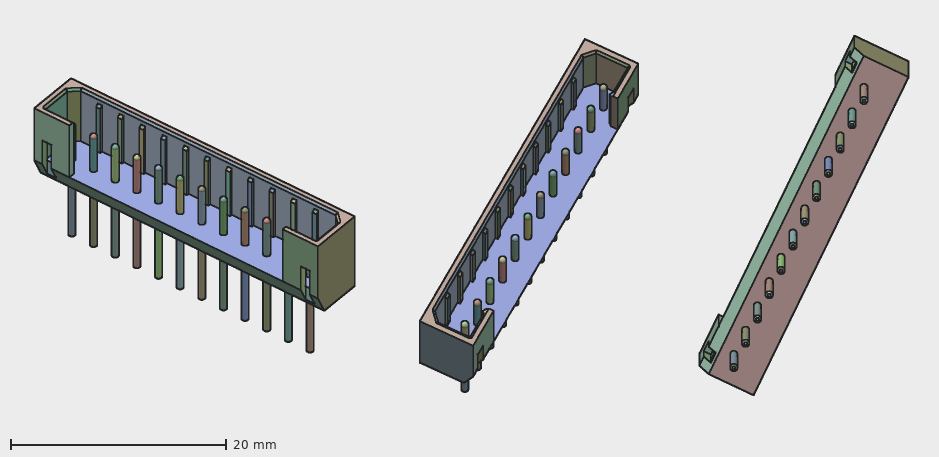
import cadquery as cq

LENGTH = 33.3
DEPTH = 5.6
HEIGHT = 8.32
WALL = 0.73
END_WALL = 0.75
FLOOR = 2.1
BEVEL_RUN = 0.95

CORNER_RUN_X = 0.93
CORNER_RUN_Y = 0.83
LIP_CHAMFER = 0.23

TAB_LENGTH = 4.13
BEAD_WIDTH = 0.53
BEAD_RISE = 0.3
SLOT_INSET = 0.95
SLOT_WIDTH = 1.03
SLOT_TOP_DROP = 3.4

PIN_COUNT = 12
PIN_SPAN = 27.95
PIN_DIAMETER = 0.7
PIN_INSET = 2.25
PIN_TAIL = 7.05
PIN_TOP_DROP = 1.93
PIN_DOME_HEIGHT = 0.3
PIN_TAIL_CHAMFER = 0.2

RIB_WIDTH = 0.5
RIB_DEPTH = 0.25
RIB_TOP_DROP = 0.7

HALF_LENGTH = LENGTH / 2
PIN_PITCH = PIN_SPAN / (PIN_COUNT - 1)
REAR_WALL_Y = DEPTH - WALL


def make_block():
    """Solid housing with the bevel along its lower front edge."""
    return (
        cq.Workplane("YZ")
        .polyline([(BEVEL_RUN, 0), (DEPTH, 0), (DEPTH, HEIGHT), (0, HEIGHT), (0, FLOOR)])
        .close()
        .extrude(HALF_LENGTH, both=True)
    )


def make_cavity():
    """Pocket with two cut rear corners, flared at the rim."""
    side = HALF_LENGTH - END_WALL
    outline = [
        (-side, WALL),
        (side, WALL),
        (side, REAR_WALL_Y - CORNER_RUN_Y),
        (side - CORNER_RUN_X, REAR_WALL_Y),
        (-side + CORNER_RUN_X, REAR_WALL_Y),
        (-side, REAR_WALL_Y - CORNER_RUN_Y),
    ]
    pocket = cq.Workplane("XY", origin=(0, 0, FLOOR)).polyline(outline).close().extrude(HEIGHT - FLOOR)
    flare = (
        cq.Workplane("XY", origin=(0, 0, HEIGHT - LIP_CHAMFER))
        .polyline(outline)
        .close()
        .extrude(LIP_CHAMFER, taper=-45)
    )
    return pocket.union(flare)


def make_front_opening():
    """Gap in the front wall between the two tabs."""
    return cq.Workplane("XY", origin=(0, 0, FLOOR)).rect(LENGTH - 2 * TAB_LENGTH, 2 * WALL).extrude(HEIGHT)


def make_left_bead():
    """Vertical triangular bead inside the free end of the left tab, sloped like the lip."""
    tab_end = -HALF_LENGTH + TAB_LENGTH
    crest = WALL + BEAD_RISE
    shoulder = HEIGHT - LIP_CHAMFER
    prism = (
        cq.Workplane("XY", origin=(0, 0, FLOOR))
        .polyline([
            (tab_end, WALL),
            (tab_end - BEAD_WIDTH / 2, crest),
            (tab_end - BEAD_WIDTH, WALL),
        ])
        .close()
        .extrude(HEIGHT - FLOOR)
    )
    side_profile = (
        cq.Workplane("YZ")
        .polyline([(WALL, FLOOR), (crest, FLOOR), (crest, shoulder - BEAD_RISE), (WALL, shoulder)])
        .close()
        .extrude(HALF_LENGTH, both=True)
    )
    return prism.intersect(side_profile)


def make_left_slot():
    """Slot as deep as the front wall; it runs down and out through the bevel."""
    left = -HALF_LENGTH + SLOT_INSET
    top = HEIGHT - SLOT_TOP_DROP
    return cq.Workplane("XY", origin=(left, 0, 0)).box(SLOT_WIDTH, WALL, top, centered=False)


def make_pin():
    """Round pin with a domed top and a chamfered tail, standing on the pin row."""
    radius = PIN_DIAMETER / 2
    top = HEIGHT - PIN_TOP_DROP
    shoulder = top - PIN_DOME_HEIGHT
    dome_radius = (radius**2 + PIN_DOME_HEIGHT**2) / (2 * PIN_DOME_HEIGHT)
    return (
        cq.Workplane("XZ", origin=(0, PIN_INSET, 0))
        .moveTo(0, -PIN_TAIL)
        .lineTo(radius - PIN_TAIL_CHAMFER, -PIN_TAIL)
        .lineTo(radius, -PIN_TAIL + PIN_TAIL_CHAMFER)
        .lineTo(radius, shoulder)
        .radiusArc((0, top), -dome_radius)
        .close()
        .revolve(360, (0, 0, 0), (0, 1, 0))
    )


def make_rib():
    """Rear-wall rib whose top slopes back to the wall at 45 degrees."""
    top = HEIGHT - RIB_TOP_DROP
    front = REAR_WALL_Y - RIB_DEPTH
    return (
        cq.Workplane("YZ")
        .polyline([(REAR_WALL_Y, FLOOR), (front, FLOOR), (front, top - RIB_DEPTH), (REAR_WALL_Y, top)])
        .close()
        .extrude(RIB_WIDTH / 2, both=True)
    )


def add_row(body, item, count):
    """Join copies of item to body in a row centred on the housing at pin pitch."""
    for index in range(count):
        x = (index - (count - 1) / 2) * PIN_PITCH
        body = body.union(item.translate((x, 0, 0)))
    return body


bead = make_left_bead()
slot = make_left_slot()

housing = make_block().cut(make_cavity()).cut(make_front_opening())
housing = housing.union(bead).union(bead.mirror("YZ"))
housing = housing.cut(slot).cut(slot.mirror("YZ"))
housing = add_row(housing, make_rib(), PIN_COUNT - 1)

result = add_row(housing, make_pin(), PIN_COUNT)